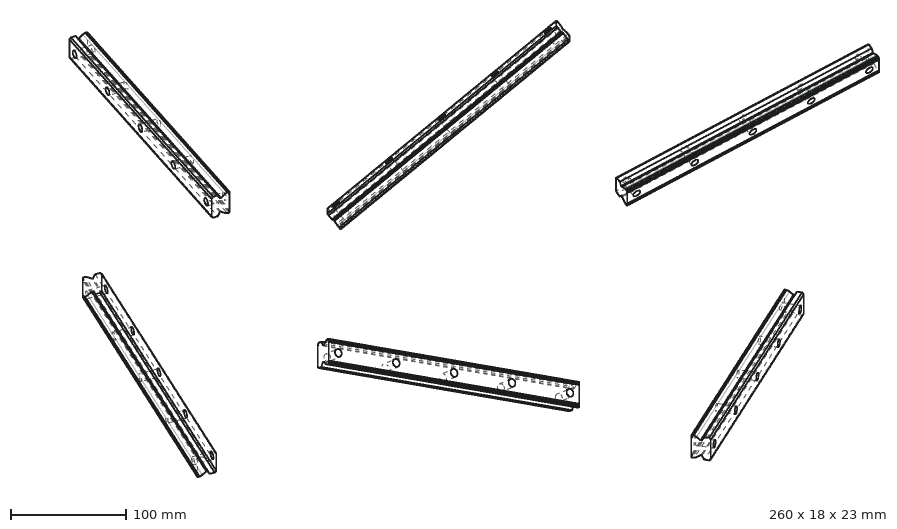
import cadquery as cq

length = 260.0
depth = 18.0
height = 23.0

hole_diameter = 7.0
hole_count = 5
hole_pitch = 60.0

base_chamfer = 1.5

head_chamfer = 0.5

head_flat_end = 2.3
head_step_place = 4.7
head_step_drop = 1.0
groove_start = 8.5
groove_end = 9.5
groove_depth = 4.0
base_shoulder = 11.7

notch_inset = 2.3
notch_width = 1.5
notch_depth = 0.8

half_depth = depth / 2
half_height = height / 2


def upper_outline():
    """Upper half of the cross-section as (Y, Z) points, from +Y to -Y."""
    notch_z = half_height - notch_inset
    return [
        (half_depth, notch_z - notch_width / 2),
        (half_depth - notch_depth, notch_z),
        (half_depth, notch_z + notch_width / 2),
        (half_depth, half_height - head_chamfer),
        (half_depth - head_chamfer, half_height),
        (half_depth - head_flat_end, half_height),
        (half_depth - head_step_place, half_height - head_step_drop),
        (half_depth - groove_start, half_height - groove_depth),
        (half_depth - groove_end, half_height - groove_depth),
        (half_depth - base_shoulder, half_height),
        (-half_depth + base_chamfer, half_height),
        (-half_depth, half_height - base_chamfer),
    ]


upper = upper_outline()
lower = [(y, -z) for y, z in reversed(upper)]
rail = (
    cq.Workplane("YZ")
    .polyline(upper + lower)
    .close()
    .extrude(length / 2, both=True)
)

holes = (
    cq.Workplane("XZ")
    .rarray(hole_pitch, 2.5, hole_count, 1)
    .circle(hole_diameter / 2)
    .extrude(depth, both=True)
)

result = rail.cut(holes)